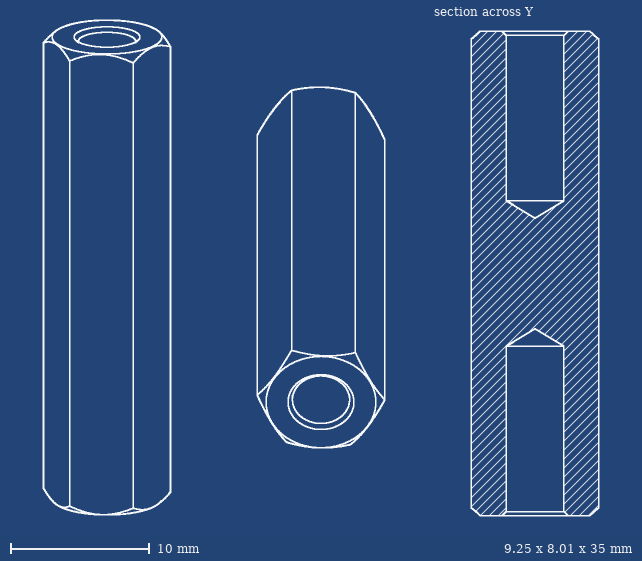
import cadquery as cq
import math

length = 35.0
across_corners = 9.25
across_flats = across_corners * math.cos(math.radians(30))

end_face_inset = 0.05
end_face_radius = across_flats / 2 - end_face_inset
corner_drop = 0.6

hole_diameter = 4.13
mouth_diameter = 4.75
mouth_angle = 90.0
hole_depth = 12.25
drill_point_angle = 118.0


def cone_height(radial_change, included_angle):
    """Axial height of a cone with the given change of radius."""
    return radial_change / math.tan(math.radians(included_angle / 2))


def chamfer_envelope():
    """Turned cylinder with tapered ends, used to trim the hexagon."""
    corner_radius = across_corners / 2
    return (
        cq.Workplane("XZ")
        .moveTo(0, 0)
        .lineTo(end_face_radius, 0)
        .lineTo(corner_radius, corner_drop)
        .lineTo(corner_radius, length - corner_drop)
        .lineTo(end_face_radius, length)
        .lineTo(0, length)
        .close()
        .revolve(360, (0, 0), (0, 1))
    )


def drilled_hole():
    """Countersunk hole in the top end, with a conical drill point."""
    hole_radius = hole_diameter / 2
    mouth_radius = mouth_diameter / 2
    mouth_depth = cone_height(mouth_radius - hole_radius, mouth_angle)
    shoulder_z = length - hole_depth
    tip_z = shoulder_z - cone_height(hole_radius, drill_point_angle)
    return (
        cq.Workplane("XZ")
        .moveTo(0, length)
        .lineTo(mouth_radius, length)
        .lineTo(hole_radius, length - mouth_depth)
        .lineTo(hole_radius, shoulder_z)
        .lineTo(0, tip_z)
        .close()
        .revolve(360, (0, 0), (0, 1))
    )


hexagon = cq.Workplane("XY").polygon(6, across_corners).extrude(length)
top_hole = drilled_hole()
bottom_hole = top_hole.mirror("XY", (0, 0, length / 2))
result = hexagon.intersect(chamfer_envelope()).cut(top_hole).cut(bottom_hole)